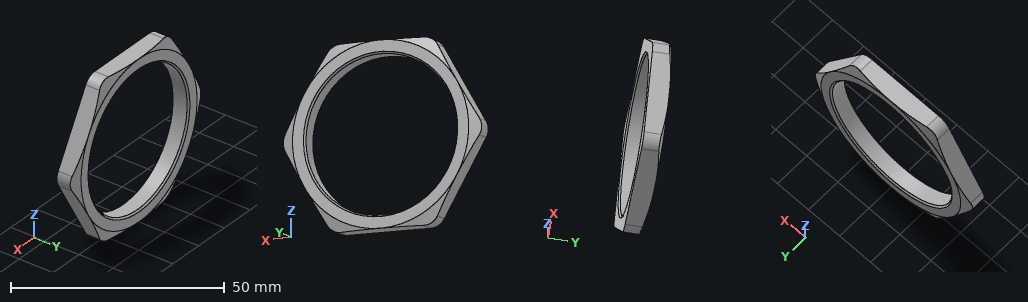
import cadquery as cq
import math

across_flats = 45.0
thickness = 5.0
corner_radius = 4.0
bore_diameter = 38.5
bore_chamfer = 0.45

bevel_face_diameter = across_flats
bevel_angle = 20.0


def hexagon_blank():
    """Hexagonal plate from Y = 0 to Y = thickness, with rounded corners."""
    across_corners = across_flats / math.cos(math.pi / 6)
    return (
        cq.Workplane("XZ")
        .polygon(6, across_corners)
        .extrude(-thickness)
        .edges("|Y")
        .fillet(corner_radius)
    )


def bevel_envelope():
    """Solid of revolution about Y whose conical end shapes the +Y corners."""
    face_radius = bevel_face_diameter / 2
    outer_radius = across_flats / math.sqrt(3)
    bevel_drop = (outer_radius - face_radius) * math.tan(math.radians(bevel_angle))
    return (
        cq.Workplane("XY")
        .polyline([
            (0, 0),
            (outer_radius, 0),
            (outer_radius, thickness - bevel_drop),
            (face_radius, thickness),
            (0, thickness),
        ])
        .close()
        .revolve(360, (0, 0, 0), (0, 1, 0))
    )


def bore_cutter():
    """Through bore, chamfered at both faces."""
    bore_radius = bore_diameter / 2
    mouth_radius = bore_radius + bore_chamfer
    return (
        cq.Workplane("XY")
        .polyline([
            (0, 0),
            (mouth_radius, 0),
            (bore_radius, bore_chamfer),
            (bore_radius, thickness - bore_chamfer),
            (mouth_radius, thickness),
            (0, thickness),
        ])
        .close()
        .revolve(360, (0, 0, 0), (0, 1, 0))
    )


result = hexagon_blank().intersect(bevel_envelope()).cut(bore_cutter())